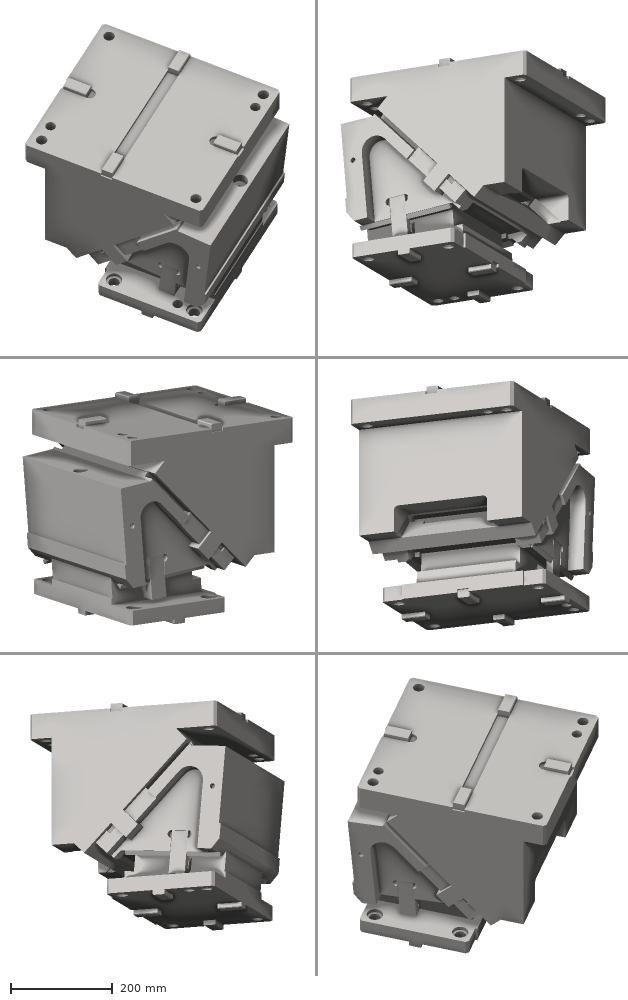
import cadquery as cq
import math

half_width = 175.0
corner_chamfer = 5.5
key_length = 50.0
key_width = 25.0
key_height = 10.0
keyway_depth = 6.5
key_chamfer = 1.5
bolt_dia = 22.5
dowel_dia = 21.0
overshoot = 20.5

tip_x, tip_z = 114.0, 95.5
slideway_end = 303.5
pad_height = 1.5
pad_half_width = 147.5
slide_start = 30.5

guide_angle = math.radians(5)
pivot_x, pivot_z = 187.0, 102.0
guide_half_width = 106.0
guide_height = 10.0
guide_end = 200.0

plate_length = 390.5
plate_bottom, plate_top = 332.5, 383.0
block_left = 46.0
block_bottom = 116.5
shoulder_x = tip_x - (block_bottom - tip_z)
block_right_top = 306.5
bolt_inset = 25.5
bolt_y = 149.5
left_dowel_y, right_dowel_y = -109.8, 114.3
end_key_inset = 5.0
end_keyway_length = 69.0
cross_keyway_x = 180.5
cross_key_inset = 3.0
notch_half_width = 100.0
notch_top = 168.8
notch_corner_radius = 9.0
ledge_start = 159.5
window_start = 150.7
window_half_width = 73.7
ledge_depth = 6.0
side_groove_half_width = 105.0
side_groove_height = 21.5
side_groove_end = 61.0

hook_start, hook_end = 80.0, 115.0
hook_drop = 44.2
flank_half_width = 141.7

slide_plate_thickness = 41.0
slide_toe_length = 20.5
flange_thickness = 34.0
slide_right = 205.2
slide_top = 206.5
slide_top_left = 133.5
heel_right, heel_top, heel_bottom = 209.0, 50.8, 21.0
heel_toe = 193.5
flank_right = 164.3
flank_radius = 29.5
flange_step = 177.0
lower_flange_half_width = 168.5
upper_flange_gap = 11.5
stop_recess_length = 17.0
stop_recess_depth = 4.0
clearance_half_width = 116.0
flare_half_width, flare_start, flare_end = 134.8, -11.0, -20.5
rail_drop = 8.0
rail_apex_y, rail_inner_y = 135.0, 125.0
rail_end = 199.0
side_hole_dia, side_hole_depth = 10.5, 12.3
side_hole_x, side_hole_z = 382.0, 211.0
top_bore_dia, top_bore_depth = 29.5, 20.5
top_drill_dia, top_drill_depth = 7.8, 41.0
top_bore_along = 184.5

clip_centre, clip_width = 112.2, 33.5
clip_top, clip_bottom = 42.0, -44.5
clip_half_width = 140.0
clip_thickness = 14.5
clip_toe_thickness = 13.0
clip_toe_y = 109.5
clip_slot_length, clip_slot_height, clip_slot_depth = 50.0, 15.0, 12.3
lug_half_width = 120.5
lug_shoulder, lug_top = -16.5, -6.0

base_left, base_right = 155.5, 386.0
base_side_left = 160.0
base_nose_half_width = 130.3
base_bottom, base_top = 10.0, 39.5
pedestal_left, pedestal_step_left = 10.0, -9.5
pedestal_step = -35.0
pedestal_heel_top = 52.5
pedestal_foot_left, pedestal_foot_right = -65.5, -49.0
base_bolt_inset = 24.5
counterbore_dia, counterbore_depth = 32.5, 7.8
base_dowel_x = 325.0
base_cross_key_x = 270.0


def incline(along, below):
    """Point at a distance along the slideway from the tip and below it."""
    half_root = math.sqrt(0.5)
    return tip_x + (along + below) * half_root, tip_z + (along - below) * half_root


def tilt(along, above):
    """Point at a distance along the lower guide from the pivot and above it."""
    cosine, sine = math.cos(guide_angle), math.sin(guide_angle)
    return pivot_x + along * cosine + above * sine, pivot_z - along * sine + above * cosine


def prism(points, y_from, y_to):
    """Outline in the XZ plane, extruded from y_from to y_to."""
    return cq.Workplane("XZ", origin=(0, y_from, 0)).polyline(points).close().extrude(y_from - y_to)


def bar(frame, along_from, along_to, across_from, across_to, y_from, y_to):
    """Rectangular bar set out in an inclined or tilted frame."""
    corners = [
        frame(along_from, across_from),
        frame(along_to, across_from),
        frame(along_to, across_to),
        frame(along_from, across_to),
    ]
    return prism(corners, y_from, y_to)


def box(x_from, x_to, y_from, y_to, z_from, z_to):
    size = (x_to - x_from, y_to - y_from, z_to - z_from)
    return cq.Workplane("XY").box(*size, centered=False).translate((x_from, y_from, z_from))


def rod(x, y, z_from, z_to, diameter):
    return cq.Workplane("XY", origin=(x, y, z_from)).circle(diameter / 2).extrude(z_to - z_from)


def both_sides(shape):
    """The shape together with its mirror image across the XZ plane."""
    return shape.union(shape.mirror("XZ"))


def tilted_beam(section, along_from, along_to):
    """Cross-section (y, height) extruded along the lower guide."""
    beam = cq.Workplane("YZ", origin=(along_from, 0, 0)).polyline(section).close()
    beam = beam.extrude(along_to - along_from)
    beam = beam.rotate((0, 0, 0), (0, 1, 0), math.degrees(guide_angle))
    return beam.translate((pivot_x, 0, pivot_z))


def x_key(x_from, z_from, z_to, outer_side):
    """Key along X on the centre plane; outer_side selects the chamfered face."""
    key = box(x_from, x_from + key_length, -key_width / 2, key_width / 2, z_from, z_to)
    return key.faces(outer_side).edges("|X").chamfer(key_chamfer)


def y_key(x_centre, y_from, z_from, z_to, outer_side):
    """Key along Y; outer_side selects the chamfered face."""
    half_key = key_width / 2
    key = box(x_centre - half_key, x_centre + half_key, y_from, y_from + key_length, z_from, z_to)
    return key.faces(outer_side).edges("|Y").chamfer(key_chamfer)


def make_top_plate():
    plate = box(0, plate_length, -half_width, half_width, plate_bottom, plate_top)
    return plate.edges("|Z").chamfer(corner_chamfer)


def make_block_body():
    outline = [
        (block_left, plate_bottom),
        (block_left, block_bottom),
        (shoulder_x, block_bottom),
        (tip_x, tip_z),
        incline(slideway_end, 0),
        (block_right_top, plate_bottom),
    ]
    body = prism(outline, -half_width, half_width)
    pad = bar(incline, slide_start, slideway_end, 0, pad_height, -pad_half_width, pad_half_width)
    hook = bar(incline, hook_start, hook_end, 0, hook_drop, -half_width, -flank_half_width)
    return body.union(pad).union(both_sides(hook))


def make_notch():
    """Notch in the left face; its 45 degree floor runs parallel to the slideway."""
    left_x = block_left - overshoot
    outline = [
        (left_x, block_bottom - overshoot),
        (shoulder_x - overshoot, block_bottom - overshoot),
        (shoulder_x - overshoot, block_bottom),
        (shoulder_x, block_bottom),
        (shoulder_x + notch_top - block_bottom, notch_top),
        (left_x, notch_top),
    ]
    notch = prism(outline, -notch_half_width, notch_half_width)
    notch = notch.edges("|X").edges(">Z").fillet(notch_corner_radius)
    for start, half in ((ledge_start, notch_half_width), (window_start, window_half_width)):
        start_x = shoulder_x + start - block_bottom
        shift = ledge_depth * math.sqrt(0.5)
        ledge = [
            (start_x, start),
            (start_x + shift, start - shift),
            (shoulder_x + notch_top - block_bottom + 2 * shift, notch_top),
            (start_x, notch_top),
        ]
        notch = notch.union(prism(ledge, -half, half))
    floor_level = (shoulder_x - tip_x - block_bottom + tip_z) * math.sqrt(0.5)
    side_groove = bar(incline, -overshoot, side_groove_end, floor_level - side_groove_height, floor_level,
                      -side_groove_half_width, side_groove_half_width)
    return notch.union(side_groove)


def make_upper_block():
    block = make_top_plate().union(make_block_body()).cut(make_notch())

    right_bolt_x = plate_length - bolt_inset
    holes = [(x, y, bolt_dia) for x in (bolt_inset, right_bolt_x) for y in (-bolt_y, bolt_y)]
    holes += [(bolt_inset, left_dowel_y, dowel_dia), (right_bolt_x, right_dowel_y, dowel_dia)]
    for x, y, diameter in holes:
        block = block.cut(rod(x, y, plate_bottom, plate_top, diameter))

    half_key = key_width / 2
    keyway_floor = plate_top - keyway_depth
    key_top = plate_top + key_height
    cross_left, cross_right = cross_keyway_x - half_key, cross_keyway_x + half_key
    block = block.cut(box(cross_left, cross_right, -half_width, half_width, keyway_floor, plate_top))
    end_keyway = box(0, end_keyway_length - half_key, -half_key, half_key, keyway_floor, plate_top)
    end_keyway = end_keyway.union(
        rod(end_keyway_length - half_key, 0, keyway_floor, plate_top, key_width))
    end_key = x_key(end_key_inset, keyway_floor, key_top, ">Z")
    middle = (plate_length / 2, 0, 0)
    block = block.cut(end_keyway).cut(end_keyway.mirror("YZ", middle))
    block = block.union(end_key).union(end_key.mirror("YZ", middle))
    cross_key = y_key(cross_keyway_x, cross_key_inset - half_width, keyway_floor, key_top, ">Z")
    return block.union(both_sides(cross_key))


def make_slide_body():
    outline = [
        incline(slide_start, pad_height),
        incline(slideway_end - pad_height, pad_height),
        tilt(slide_top_left, slide_top),
        tilt(slide_right, slide_top),
        tilt(slide_right, heel_top),
        tilt(heel_right, heel_top),
        tilt(heel_right, heel_bottom),
        tilt(heel_toe, 0),
        tilt(0, 0),
        incline(slide_start + slide_toe_length, slide_plate_thickness),
        incline(slide_start, slide_plate_thickness),
    ]
    return prism(outline, -half_width, half_width)


def make_flank_pocket():
    """Arched side pocket between the slideway flange and the right column."""
    start_x, start_z = incline(0, flange_thickness)
    wall_x, wall_z = tilt(flank_right, 0)
    rise = (wall_x - start_x - wall_z + start_z) / (math.cos(guide_angle) - math.sin(guide_angle))
    outline = [
        (start_x, start_z),
        tilt(flank_right, rise),
        tilt(flank_right, -overshoot),
        (start_x, tilt(flank_right, -overshoot)[1]),
    ]
    pocket = prism(outline, -half_width, -flank_half_width)
    return pocket.edges("|Y").edges(">Z").fillet(flank_radius)


def make_flange_reliefs():
    """Set-backs of the flanges: lower part narrower, upper part thinner, gap for the hook."""
    lower = bar(incline, 0, flange_step, 0, flange_thickness, -half_width, -lower_flange_half_width)
    upper = bar(incline, flange_step, slideway_end + overshoot, 0, upper_flange_gap,
                -half_width, -pad_half_width)
    hook_gap = bar(incline, hook_start, hook_end, 0, hook_drop, -half_width, -flank_half_width)
    stop = bar(incline, hook_start - stop_recess_length, hook_start, 0, upper_flange_gap,
               -lower_flange_half_width, stop_recess_depth - lower_flange_half_width)
    return lower.union(upper).union(hook_gap).union(stop)


def make_rail():
    """V-shaped sliding rail under the slide."""
    section = [
        (-clip_half_width, 0),
        (-rail_inner_y, 0),
        (-rail_apex_y, -rail_drop),
    ]
    return tilted_beam(section, 0, rail_end)


def make_guide_channel():
    """Channel that fits the base guide, wider and flared through the lower slide end."""
    fit = bar(tilt, 0, heel_right + overshoot, -overshoot, guide_height,
              -guide_half_width, guide_half_width)
    half_section = [
        (clearance_half_width, guide_height),
        (clearance_half_width, flare_start),
        (flare_half_width, flare_end),
    ]
    section = half_section + [(-y, height) for y, height in reversed(half_section)]
    return fit.union(tilted_beam(section, -2 * overshoot, 0))


def make_clip():
    """L-shaped clip that reaches under the lug of the base."""
    left, right = clip_centre - clip_width / 2, clip_centre + clip_width / 2
    leg = bar(tilt, left, right, clip_bottom, clip_top,
              -clip_half_width, clip_thickness - clip_half_width)
    toe = bar(tilt, left, right, clip_bottom, clip_bottom + clip_toe_thickness,
              -clip_half_width, -clip_toe_y)
    return leg.union(toe)


def make_clip_slot():
    slot_x, slot_z = tilt(clip_centre, clip_top - clip_slot_height / 2)
    slot = (
        cq.Workplane("XZ", origin=(slot_x, -flank_half_width, slot_z))
        .slot2D(clip_slot_length, clip_slot_height, math.degrees(-guide_angle))
        .extrude(-clip_slot_depth)
    )
    left, right = clip_centre - clip_width / 2, clip_centre + clip_width / 2
    return slot.union(bar(tilt, left, right, -overshoot, clip_top, -flank_half_width, -clip_half_width))


def make_top_bore():
    x, z = tilt(top_bore_along, slide_top)
    axis = cq.Vector(-math.sin(guide_angle), 0, -math.cos(guide_angle))
    bore = cq.Solid.makeCylinder(top_bore_dia / 2, top_bore_depth, cq.Vector(x, 0, z), axis)
    drill = cq.Solid.makeCylinder(top_drill_dia / 2, top_drill_depth, cq.Vector(x, 0, z), axis)
    return cq.Workplane("XY").add(bore).union(cq.Workplane("XY").add(drill))


def make_slide():
    slide = make_slide_body()
    slide = slide.cut(both_sides(make_flank_pocket()))
    slide = slide.cut(both_sides(make_flange_reliefs()))
    slide = slide.cut(both_sides(make_clip_slot()))
    slide = slide.cut(make_guide_channel())
    slide = slide.union(both_sides(make_rail()))
    slide = slide.union(both_sides(make_clip()))
    side_hole = (
        cq.Workplane("XZ", origin=(side_hole_x, -half_width, side_hole_z))
        .circle(side_hole_dia / 2)
        .extrude(-side_hole_depth)
    )
    return slide.cut(both_sides(side_hole)).cut(make_top_bore())


def make_base_plate():
    plate = box(base_side_left, base_right, -half_width, half_width, base_bottom, base_top)
    plate = plate.edges("|Z").chamfer(corner_chamfer)
    nose = box(base_left, base_side_left, -base_nose_half_width, base_nose_half_width,
               base_bottom, base_top)
    return plate.union(nose)


def make_pedestal():
    outline = [
        tilt(pedestal_left, guide_height),
        tilt(guide_end, guide_height),
        tilt(guide_end, pedestal_foot_right),
        tilt(pedestal_step_left, pedestal_foot_left),
        tilt(pedestal_step_left, pedestal_step),
        tilt(pedestal_left, pedestal_step),
    ]
    pedestal = prism(outline, -guide_half_width, guide_half_width)
    heel = box(base_right - overshoot, base_right, -guide_half_width, guide_half_width,
               base_top, pedestal_heel_top)
    return pedestal.union(heel)


def make_lug():
    """Lug beside the guide with a bevelled top; the clip toe lies under it."""
    section = [
        (-guide_half_width, clip_bottom + clip_toe_thickness),
        (-lug_half_width, clip_bottom + clip_toe_thickness),
        (-lug_half_width, lug_shoulder),
        (-guide_half_width, lug_top),
    ]
    start = clip_centre - clip_width / 2
    return tilted_beam(section, start, start + clip_width)


def make_base():
    base = make_base_plate().union(make_pedestal()).union(both_sides(make_lug()))

    bolt_xs = (base_side_left + base_bolt_inset, base_right - base_bolt_inset)
    for x in bolt_xs:
        for y in (-bolt_y, bolt_y):
            base = base.cut(rod(x, y, base_bottom, base_top, bolt_dia))
            base = base.cut(rod(x, y, base_top - counterbore_depth, base_top, counterbore_dia))
    base = base.cut(rod(base_dowel_x, -bolt_y, base_bottom, base_top, dowel_dia))

    half_key = key_width / 2
    keyway_top = base_bottom + keyway_depth
    base = base.cut(box(base_left, base_side_left, -half_key, half_key, base_bottom, keyway_top))
    for x in (base_side_left, base_right - key_length):
        base = base.union(x_key(x, 0, keyway_top, "<Z"))
    cross_key = y_key(base_cross_key_x, -half_width, 0, keyway_top, "<Z")
    return base.union(both_sides(cross_key))


upper_block = make_upper_block()
slide = make_slide()
base = make_base()

result = cq.Compound.makeCompound([*upper_block.vals(), *slide.vals(), *base.vals()])